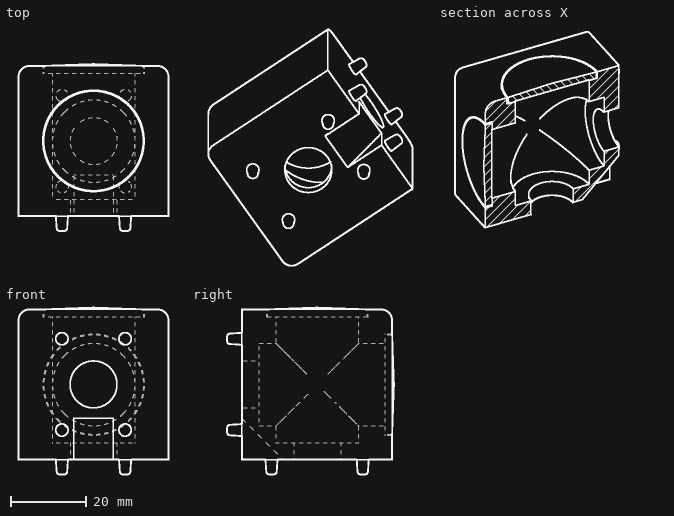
import cadquery as cq


overall_length = 44.5
cube_side = 40.0
half_side = cube_side / 2
edge_radius = 3.0

wall = 4.5
opening_diameter = 12.5
bore_diameter = 22.0

cap_diameter = 26.5
cap_gap = 0.245
cap_thickness = 2.0
cap_rise = 0.5
recess_diameter = cap_diameter + 2 * cap_gap

pin_length = overall_length - cube_side - cap_rise
pin_base_radius = 1.65
pin_tip_radius = 1.4
pin_tip_fillet = 0.9
pin_offset_x = 8.4
pin_offset_side = 12.15

notch_width = 10.6
notch_depth = 10.95


def bottom_to_front(shape):
    """Turn a feature of the vertical axis onto the front-to-back axis: -Z to -Y, +Z to +Y."""
    return shape.mirror("XY").rotate((0, 0, 0), (1, 0, 0), 90)


def vertical_cylinder(diameter, z_low, z_high):
    return (
        cq.Workplane("XY")
        .workplane(offset=z_low)
        .circle(diameter / 2)
        .extrude(z_high - z_low)
    )


def make_block():
    """Cube rounded on its four top and back edges along the sides, and where top meets back."""
    return (
        cq.Workplane("XY")
        .box(cube_side, cube_side, cube_side)
        .edges("(|Y and >Z) or (|Z and >Y) or (>Y and >Z)")
        .fillet(edge_radius)
    )


def make_passage():
    """Stepped vertical hole: opening in the bottom wall, wide bore, cap recess at the top."""
    bore_floor = wall - half_side
    recess_floor = half_side - cap_thickness
    opening = vertical_cylinder(opening_diameter, -half_side, bore_floor)
    bore = vertical_cylinder(bore_diameter, bore_floor, recess_floor)
    recess = vertical_cylinder(recess_diameter, recess_floor, half_side)
    return opening.union(bore).union(recess)


def make_notch():
    """Wedge that cuts the lower front edge with a 45 degree face."""
    return (
        cq.Workplane("YZ")
        .moveTo(-half_side, -half_side)
        .lineTo(-half_side + notch_depth, -half_side)
        .lineTo(-half_side, -half_side + notch_depth)
        .close()
        .extrude(notch_width / 2, both=True)
    )


def make_pin(x, y):
    """Tapered pin with a rounded tip, pointing down from the bottom face."""
    profile = (
        cq.Workplane("XZ")
        .moveTo(0, 0)
        .lineTo(pin_base_radius, 0)
        .lineTo(pin_tip_radius, -pin_length)
        .lineTo(0, -pin_length)
        .close()
    )
    pin = profile.revolve(360, (0, 0, 0), (0, 1, 0)).faces("<Z").edges().fillet(pin_tip_fillet)
    return pin.translate((x, y, -half_side))


def make_housing():
    passage = make_passage()
    housing = make_block().cut(passage).cut(bottom_to_front(passage)).cut(make_notch())
    for x in (-pin_offset_x, pin_offset_x):
        for y in (-pin_offset_side, pin_offset_side):
            pin = make_pin(x, y)
            housing = housing.union(pin).union(bottom_to_front(pin))
    return housing.solids()


def make_cap():
    """Disc with a shallow cone on its outer face, seated in the top recess."""
    cap_radius = cap_diameter / 2
    return (
        cq.Workplane("XZ")
        .moveTo(0, half_side - cap_thickness)
        .lineTo(cap_radius, half_side - cap_thickness)
        .lineTo(cap_radius, half_side)
        .lineTo(0, half_side + cap_rise)
        .close()
        .revolve(360, (0, 0, 0), (0, 1, 0))
    )


housing = make_housing()
top_cap = make_cap()
caps = [top_cap, bottom_to_front(top_cap)]

result = cq.Compound.makeCompound([housing.val(), *[cap.val() for cap in caps]])